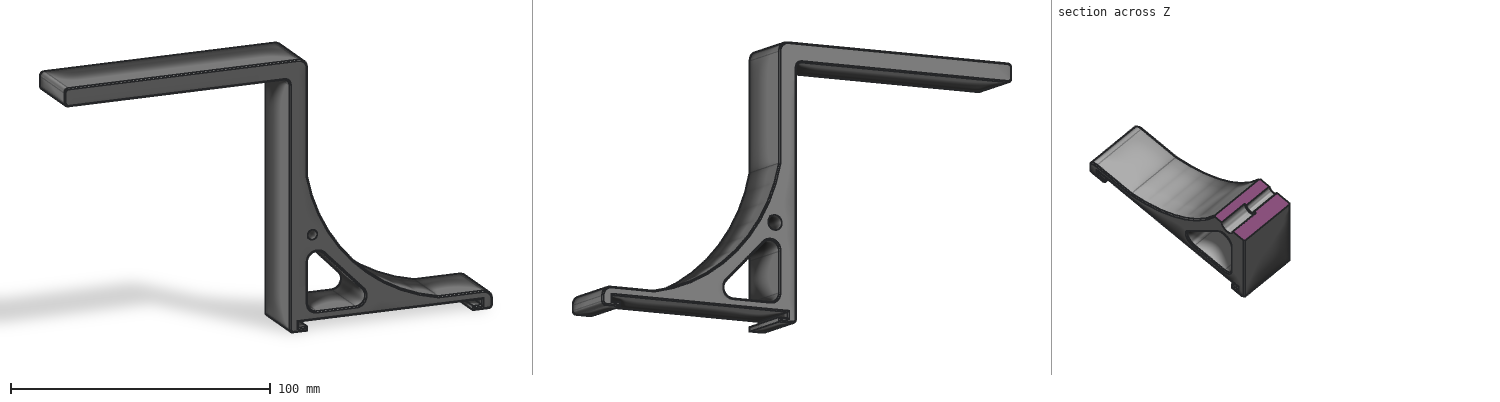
import cadquery as cq
import math

WIDTH = 25.0
LENGTH = 178.8
HEIGHT = 109.8
THICKNESS = 7.5
FOOT_LENGTH = 84.8
EDGE_CHAMFER = 0.5

BEND_OUTER_RADIUS = 3.8
BEND_INNER_RADIUS = 2.3
ARM_TIP_RADIUS = 1.8
FOOT_TOP_RADIUS = 3.8
FOOT_BOTTOM_RADIUS = 1.6

GUSSET_LEG = 54.7
GUSSET_RADIUS = 68.8
GUSSET_OVERLAP = 1.8

CHANNEL_FRONT_WALL = 3.8
CHANNEL_BACK_WALL = 4.3
CHANNEL_CEILING = 4.1
LIP_HEIGHT = 1.8
LIP_LENGTH = 3.8

POCKET_LEG = 29.7
POCKET_RADIUS = 4.0
HOLE_DIAMETER = 4.0
COUNTERBORE_DIAMETER = 5.9
COUNTERBORE_DEPTH = WIDTH / 2
HOLE_SETBACK = 9.5
HOLE_HEIGHT = 38.6

UPRIGHT_FRONT = LENGTH - FOOT_LENGTH
UPRIGHT_BACK = UPRIGHT_FRONT + THICKNESS
ARM_BOTTOM = HEIGHT - THICKNESS


def side_plane():
    """YZ sketch plane on the -X side face, with its normal along +X."""
    return cq.Workplane("YZ", origin=(-WIDTH / 2, 0, 0))


def round_corner(body, y, z, radius):
    """Fillet the edge parallel to X that passes through (y, z)."""
    edge = body.edges(cq.NearestToPointSelector((0, y, z)))
    return edge.fillet(radius)


def make_bracket():
    """Z-shaped bracket with rounded corners."""
    body = (
        side_plane()
        .moveTo(0, ARM_BOTTOM)
        .lineTo(UPRIGHT_FRONT, ARM_BOTTOM)
        .lineTo(UPRIGHT_FRONT, 0)
        .lineTo(LENGTH, 0)
        .lineTo(LENGTH, THICKNESS)
        .lineTo(UPRIGHT_BACK, THICKNESS)
        .lineTo(UPRIGHT_BACK, HEIGHT)
        .lineTo(0, HEIGHT)
        .close()
        .extrude(WIDTH)
    )
    corners = [
        (0, ARM_BOTTOM, ARM_TIP_RADIUS),
        (0, HEIGHT, ARM_TIP_RADIUS),
        (UPRIGHT_FRONT, ARM_BOTTOM, BEND_INNER_RADIUS),
        (UPRIGHT_BACK, HEIGHT, BEND_OUTER_RADIUS),
        (UPRIGHT_FRONT, 0, FOOT_BOTTOM_RADIUS),
        (LENGTH, 0, FOOT_BOTTOM_RADIUS),
        (LENGTH, THICKNESS, FOOT_TOP_RADIUS),
    ]
    for y, z, radius in corners:
        body = round_corner(body, y, z, radius)
    return body


def make_gusset():
    """Concave web, sunk into the foot and upright, with bevelled arc edges."""
    half_chord = GUSSET_LEG / math.sqrt(2)
    center_to_chord = math.sqrt(GUSSET_RADIUS**2 - half_chord**2)
    center_offset = GUSSET_LEG / 2 + center_to_chord / math.sqrt(2)
    block_size = GUSSET_LEG + GUSSET_OVERLAP
    block = (
        side_plane()
        .center(UPRIGHT_BACK - GUSSET_OVERLAP, THICKNESS - GUSSET_OVERLAP)
        .rect(block_size, block_size, centered=False)
        .extrude(WIDTH)
    )
    hollow = (
        side_plane()
        .center(UPRIGHT_BACK + center_offset, THICKNESS + center_offset)
        .circle(GUSSET_RADIUS)
        .extrude(WIDTH)
    )
    return block.cut(hollow).faces("<X or >X").edges("%CIRCLE").chamfer(EDGE_CHAMFER)


def make_channel():
    """Cutter for the T-shaped clip channel, open at the bottom."""
    front = UPRIGHT_FRONT + CHANNEL_FRONT_WALL
    back = LENGTH - CHANNEL_BACK_WALL
    return (
        side_plane()
        .moveTo(front + LIP_LENGTH, 0)
        .lineTo(front + LIP_LENGTH, LIP_HEIGHT)
        .lineTo(front, LIP_HEIGHT)
        .lineTo(front, CHANNEL_CEILING)
        .lineTo(back, CHANNEL_CEILING)
        .lineTo(back, LIP_HEIGHT)
        .lineTo(back - LIP_LENGTH, LIP_HEIGHT)
        .lineTo(back - LIP_LENGTH, 0)
        .close()
        .extrude(WIDTH)
    )


def make_pocket():
    """Cutter for the rounded triangular window."""
    return (
        side_plane()
        .moveTo(UPRIGHT_BACK, THICKNESS)
        .lineTo(UPRIGHT_BACK + POCKET_LEG, THICKNESS)
        .lineTo(UPRIGHT_BACK, THICKNESS + POCKET_LEG)
        .close()
        .extrude(WIDTH)
        .edges("|X")
        .fillet(POCKET_RADIUS)
    )


def make_hole():
    """Cutter for the counterbored hole above the window."""
    center = side_plane().center(UPRIGHT_FRONT + HOLE_SETBACK, HOLE_HEIGHT)
    bore = center.circle(HOLE_DIAMETER / 2).extrude(WIDTH)
    counterbore = center.circle(COUNTERBORE_DIAMETER / 2).extrude(COUNTERBORE_DEPTH)
    return bore.union(counterbore)


def bevel_pocket(body):
    """Chamfer the rims of the triangular window in both side faces."""
    rims = []
    for face in body.faces("<X or >X").vals():
        for wire in face.innerWires():
            rims.extend(wire.Edges())
    return body.newObject(rims).chamfer(EDGE_CHAMFER)


bracket = make_bracket().cut(make_channel())
bracket = bracket.faces("<X or >X").chamfer(EDGE_CHAMFER)
bracket = bracket.union(make_gusset()).cut(make_pocket())
result = bevel_pocket(bracket).cut(make_hole())